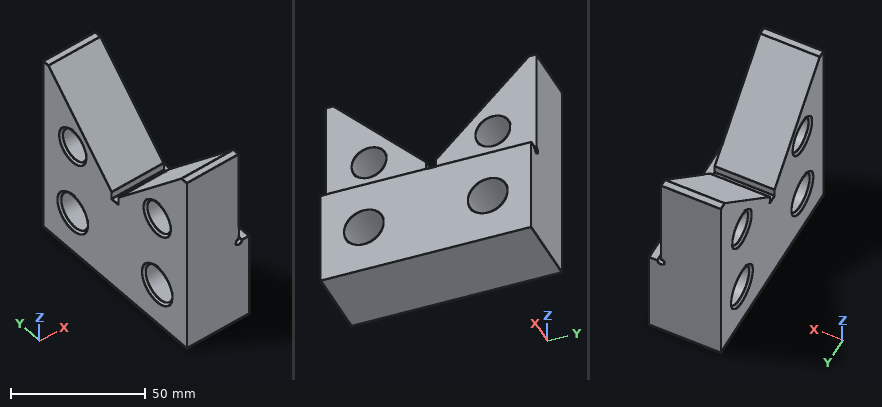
import cadquery as cq

width = 85.0
height = 85.0
base_thickness = 30.0
upper_thickness = 25.0
ledge_height = 40.0
relief_diameter = 3.0

vee_top_width = 78.7
slot_width = 3.9
slot_floor = 44.0
slot_top = height - (vee_top_width - slot_width) / 2

hole_spacing = 50.0
upper_hole_diameter = 14.0
upper_hole_height = 54.0
lower_hole_diameter = 16.0
lower_hole_height = 20.0
hole_chamfer = 1.0


def stepped_block():
    """Block with its +X side set back above the ledge, and a relief groove in the corner."""
    profile = [
        (0, 0),
        (base_thickness, 0),
        (base_thickness, ledge_height),
        (upper_thickness, ledge_height),
        (upper_thickness, height),
        (0, height),
    ]
    block = cq.Workplane("XZ").polyline(profile).close().extrude(width / 2, both=True)
    groove = (
        cq.Workplane("XZ")
        .center(upper_thickness, ledge_height)
        .circle(relief_diameter / 2)
        .extrude(width / 2, both=True)
    )
    return block.cut(groove)


def vee_notch():
    """Notch running through the thickness, symmetric about Y = 0."""
    profile = [
        (-vee_top_width / 2, height),
        (-slot_width / 2, slot_top),
        (-slot_width / 2, slot_floor),
        (slot_width / 2, slot_floor),
        (slot_width / 2, slot_top),
        (vee_top_width / 2, height),
    ]
    return cq.Workplane("YZ").polyline(profile).close().extrude(base_thickness)


def chamfered_hole(diameter, y, z):
    """Through hole along X with a 45 degree entry chamfer at X = 0."""
    radius = diameter / 2
    mouth = cq.Solid.makeCone(
        radius + hole_chamfer, radius, hole_chamfer, cq.Vector(0, y, z), cq.Vector(1, 0, 0)
    )
    bore = cq.Workplane("YZ").center(y, z).circle(radius).extrude(base_thickness)
    return bore.union(cq.Workplane(mouth))


result = stepped_block().cut(vee_notch())
for side in (-1, 1):
    y = side * hole_spacing / 2
    result = result.cut(chamfered_hole(upper_hole_diameter, y, upper_hole_height))
    result = result.cut(chamfered_hole(lower_hole_diameter, y, lower_hole_height))